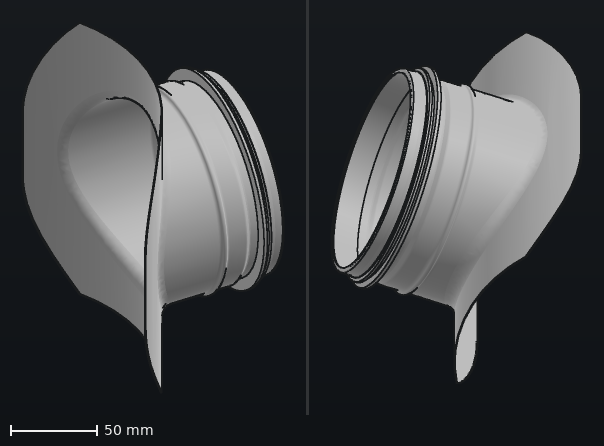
import cadquery as cq
import math

wall = 0.5

saddle_radius = 100.0
saddle_height = 198.0
saddle_width = 158.0
end_width = 105.0
straight_half_height = 23.8

overall_depth = 99.2
pipe_radius = 124.1 / 2
neck_radius = 119.2 / 2
junction_fillet = 7.1

rim_corner = 1.0
flare_start = 6.0
flare_end = 9.0
flare_height = 0.5
neck_end = 21.2
shoulder_end = 24.4
shoulder_fillet = 2.0
bead_position = 38.8
bead_half_width = 3.4
bead_height = 1.88
bead_crest_share = 0.4

lip_position = 9.7
lip_thickness = 1.5
lip_radius = 129.5 / 2
flange_position = 13.7
flange_radius = 134.5 / 2
seal_end = 15.8

saddle_edge_y = math.sqrt(saddle_radius**2 - (saddle_width / 2) ** 2)
rim_y = saddle_edge_y + overall_depth
outer_saddle_radius = saddle_radius + wall
groove_radius = pipe_radius - wall


def revolve_about_y(profile):
    """Revolve a closed XY profile (X = radius) a full turn about Y."""
    return profile.close().revolve(360, (0, 0, 0), (0, 1, 0))


def arc_mid(start, end, center):
    """Middle of the minor arc from start to end about center."""
    radius = math.dist(start, center)
    dx = (start[0] + end[0]) / 2 - center[0]
    dy = (start[1] + end[1]) / 2 - center[1]
    scale = radius / math.hypot(dx, dy)
    return (center[0] + dx * scale, center[1] + dy * scale)


def add_bead(profile, base_radius):
    """Continue a profile in the -Y direction over a bead of three tangent arcs."""
    bead_y = rim_y - bead_position
    arc_sum = (bead_half_width**2 + bead_height**2) / (2 * bead_height)
    crest_radius = bead_crest_share * arc_sum
    foot_radius = arc_sum - crest_radius
    crest = base_radius + bead_height
    joint_radius = crest - bead_crest_share * bead_height
    joint_offset = bead_crest_share * bead_half_width
    upper_foot = (base_radius, bead_y + bead_half_width)
    lower_foot = (base_radius, bead_y - bead_half_width)
    upper_joint = (joint_radius, bead_y + joint_offset)
    lower_joint = (joint_radius, bead_y - joint_offset)
    upper_center = (base_radius + foot_radius, upper_foot[1])
    lower_center = (base_radius + foot_radius, lower_foot[1])
    return (
        profile.lineTo(*upper_foot)
        .threePointArc(arc_mid(upper_foot, upper_joint, upper_center), upper_joint)
        .threePointArc((crest, bead_y), lower_joint)
        .threePointArc(arc_mid(lower_joint, lower_foot, lower_center), lower_foot)
    )


def pipe_core(offset, beaded):
    """Solid neck, shoulder and pipe, its surface moved inward by offset."""
    neck = neck_radius - offset
    pipe = pipe_radius - offset
    profile = (
        cq.Workplane("XY")
        .moveTo(0, rim_y)
        .lineTo(neck, rim_y)
        .lineTo(neck, rim_y - neck_end)
        .lineTo(pipe, rim_y - shoulder_end)
    )
    if beaded:
        profile = add_bead(profile, pipe)
    core = revolve_about_y(profile.lineTo(pipe, 0).lineTo(0, 0))
    reach = pipe_radius + wall
    shoulder = cq.selectors.BoxSelector(
        (-reach, rim_y - shoulder_end - wall, -reach),
        (reach, rim_y - neck_end + wall, reach),
        boundingbox=True,
    )
    return core.edges(shoulder).fillet(shoulder_fillet)


def saddle_cylinder(radius):
    return cq.Workplane("XY").circle(radius).extrude(saddle_height / 2, both=True)


def saddle_blank():
    """Block along Y with the outline of the saddle plate."""
    half_width = saddle_width / 2
    half_end = end_width / 2
    half_height = saddle_height / 2
    inset = half_width - half_end
    rise = half_height - straight_half_height
    arc_radius = (inset**2 + rise**2) / (2 * inset)
    arc_center = (half_width - arc_radius, straight_half_height)
    mid_x, mid_z = arc_mid((half_end, half_height), (half_width, straight_half_height), arc_center)
    return (
        cq.Workplane("XZ")
        .moveTo(-half_end, half_height)
        .lineTo(half_end, half_height)
        .threePointArc((mid_x, mid_z), (half_width, straight_half_height))
        .lineTo(half_width, -straight_half_height)
        .threePointArc((mid_x, -mid_z), (half_end, -half_height))
        .lineTo(-half_end, -half_height)
        .threePointArc((-mid_x, -mid_z), (-half_width, -straight_half_height))
        .lineTo(-half_width, straight_half_height)
        .threePointArc((-mid_x, mid_z), (-half_end, half_height))
        .close()
        .extrude(-rim_y)
    )


def filleted_body(offset, fillet, beaded):
    """Saddle cylinder joined to the pipe core, with the junction blended."""
    body = saddle_cylinder(outer_saddle_radius - offset).union(pipe_core(offset, beaded))
    reach = pipe_radius + wall
    junction = cq.selectors.BoxSelector(
        (-reach, wall, -reach), (reach, outer_saddle_radius + wall, reach), boundingbox=True
    )
    return body.edges(junction).edges("not %CIRCLE").edges("not %LINE").fillet(fillet)


def folded_rim():
    """Rim folded outward over the neck, its skirt ending in a small flare."""
    mid = 1 - math.sqrt(0.5)
    inner_corner = rim_corner - wall
    inner_top = rim_y - wall
    outer_bend = rim_corner * mid
    inner_bend = inner_corner * mid
    corner_y = rim_y - rim_corner
    profile = (
        cq.Workplane("XY")
        .moveTo(neck_radius, corner_y)
        .lineTo(neck_radius, rim_y)
        .lineTo(pipe_radius - rim_corner, rim_y)
        .threePointArc((pipe_radius - outer_bend, rim_y - outer_bend), (pipe_radius, corner_y))
        .lineTo(pipe_radius, rim_y - flare_start)
        .lineTo(pipe_radius + flare_height, rim_y - flare_end)
        .lineTo(groove_radius + flare_height, rim_y - flare_end)
        .lineTo(groove_radius, rim_y - flare_start)
        .lineTo(groove_radius, corner_y)
        .threePointArc(
            (groove_radius - inner_bend, inner_top - inner_bend), (groove_radius - inner_corner, inner_top)
        )
        .lineTo(neck_radius + inner_corner, inner_top)
        .threePointArc((neck_radius + inner_bend, inner_top - inner_bend), (neck_radius, corner_y))
    )
    return revolve_about_y(profile)


def make_collar():
    """Saddle plate and collar pipe in one thin wall; the bead stands outside a plain bore."""
    outside = filleted_body(0, junction_fillet, beaded=True).intersect(saddle_blank())
    inside = filleted_body(wall, junction_fillet + wall, beaded=False)
    return outside.cut(inside).union(folded_rim())


def make_seal():
    """Rubber ring on the neck, tucked under the skirt, with a lip and a flange."""
    lip_end = lip_position + lip_thickness
    profile = (
        cq.Workplane("XY")
        .moveTo(neck_radius, rim_y - rim_corner)
        .lineTo(groove_radius, rim_y - rim_corner)
        .lineTo(groove_radius, rim_y - lip_position)
        .lineTo(lip_radius, rim_y - lip_position)
        .lineTo(lip_radius, rim_y - lip_end)
        .lineTo(pipe_radius, rim_y - lip_end)
        .lineTo(pipe_radius, rim_y - flange_position)
        .lineTo(flange_radius, rim_y - flange_position)
        .lineTo(flange_radius, rim_y - seal_end)
        .lineTo(neck_radius, rim_y - seal_end)
    )
    return revolve_about_y(profile)


collar = make_collar()
seal = make_seal()
result = cq.Compound.makeCompound([collar.val(), seal.val()])